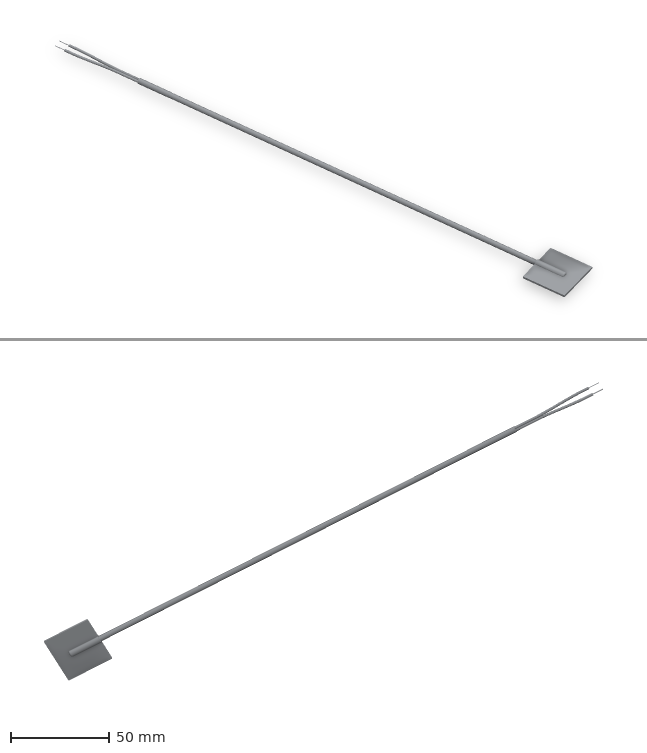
import cadquery as cq

total_length = 319.5
plate_side = 25.5
plate_thickness = 1.3
plate_start = total_length - plate_side

cable_diameter = 3.0
cable_start = 69.3
sheath_diameter = 3.2
sheath_start = 50.0

housing_radius = 1.98
housing_length = 17.5
housing_end_fillet = 1.0

wire_diameter = 1.4
wire_exit_offset = wire_diameter / 2
wire_tip_offset = 2.08
bare_tip_diameter = 0.38
bare_tip_length = 6.0
spread_end = 9.5
spread_start = 38.3
wire_overlap = 3.2


def rod(start, end, diameter, offset=0.0):
    """Round rod along X, shifted sideways in Y by offset."""
    return (
        cq.Workplane("YZ", origin=(start, offset, 0))
        .circle(diameter / 2)
        .extrude(end - start)
    )


def make_plate():
    return cq.Workplane("XY").box(plate_side, plate_side, plate_thickness).translate(
        (plate_start + plate_side / 2, 0, 0)
    )


def make_housing():
    housing = rod(plate_start, plate_start + housing_length, 2 * housing_radius)
    return housing.faces(">X").edges().fillet(housing_end_fillet)


def make_wire(side):
    """One insulated wire with its bare tip; side is +1 or -1 in Y."""
    exit_y = side * wire_exit_offset
    tip_y = side * wire_tip_offset
    path = (
        cq.Workplane("XY")
        .moveTo(sheath_start + wire_overlap, exit_y)
        .lineTo(spread_start, exit_y)
        .spline([(spread_end, tip_y)], tangents=[(-1, 0), (-1, 0)], includeCurrent=True)
        .lineTo(bare_tip_length, tip_y)
    )
    insulated = (
        cq.Workplane("YZ", origin=(sheath_start + wire_overlap, exit_y, 0))
        .circle(wire_diameter / 2)
        .sweep(path)
    )
    bare_tip = rod(0, bare_tip_length + wire_overlap, bare_tip_diameter, tip_y)
    return insulated.union(bare_tip)


cable = rod(cable_start, plate_start + housing_length / 2, cable_diameter)
sheath = rod(sheath_start, cable_start, sheath_diameter)

result = make_plate().union(make_housing()).union(cable).union(sheath)
for side in (-1, 1):
    result = result.union(make_wire(side))